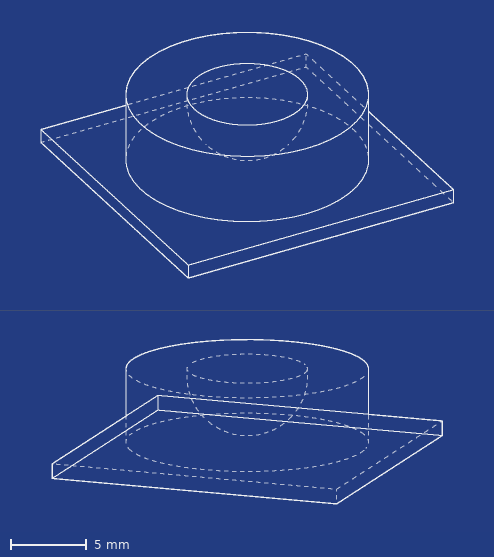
import cadquery as cq

plate_side = 20
plate_thickness = 1

boss_diameter = 16
boss_height = 5
boss_top = plate_thickness + boss_height

ball_diameter = 8
ball_center_depth = 0.45

plate = cq.Workplane("XY").box(plate_side, plate_side, plate_thickness, centered=(True, True, False))

boss = (
    cq.Workplane("XY")
    .workplane(offset=plate_thickness)
    .circle(boss_diameter / 2)
    .extrude(boss_height)
)

ball = (
    cq.Workplane("XY")
    .workplane(offset=boss_top - ball_center_depth)
    .sphere(ball_diameter / 2)
)

result = plate.union(boss).cut(ball)